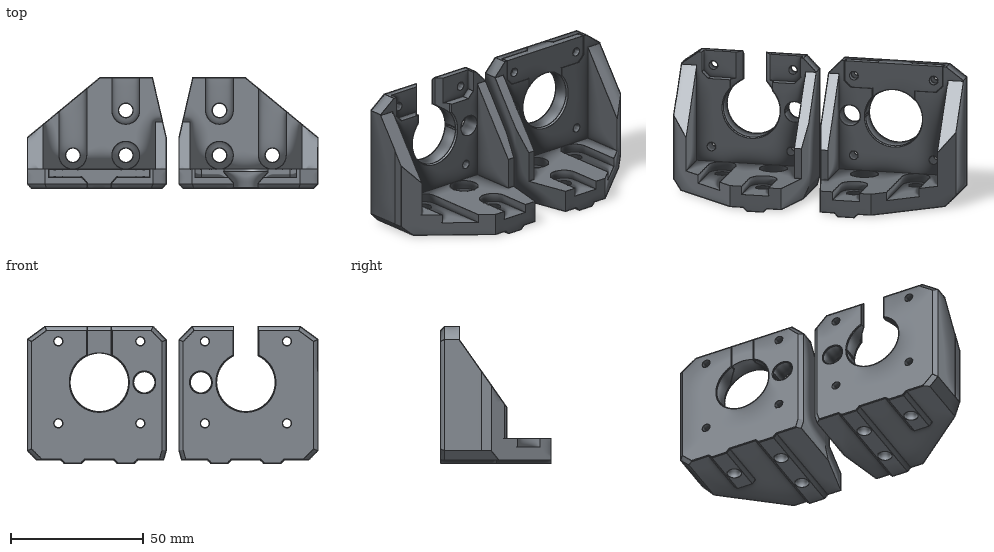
import cadquery as cq
OUTER_X = -27.2
INNER_X = 25.3
DEPTH = 41.8
HEIGHT = 50.5
MOUNT_OFFSET = 27.7

TOP_OUTER_CUT = (6.7, 4.9)
TOP_INNER_CUT = (5.0, 5.1)
BOTTOM_OUTER_CUT = (3.5, 3.5)
BOTTOM_INNER_CUT = (1.0, 3.5)
FRONT_CHAMFER = 1.6
EDGE_BREAK = 0.3

BASE_HEIGHT = 8.2
SIDE_STRAIGHT = 19.2
REAR_OUTER_X = 0.2
REAR_INNER_X = 20.1
SCREW_X = 10.0
SCREW_FRONT_Y = 12.5
SCREW_REAR_Y = 29.45
SCREW_D = 5.4
SCREW_HEAD_D = 10.5
SCREW_SEAT_Z = 5.0
RIB_TIP_WIDTH = 6.3
RIB_HEIGHT = 1.4
OUTER_RIB_LENGTH = 21.2

PLATE_DEPTH = 7.25
OUTER_WALL_X = -21.2
INNER_WALL_X = 21.2
WALL_SLOPE_TOP_Z = 45.3
WALL_END_Y = 25.1
WALL_END_Z = 19.85
OUTER_PAD = 0.1
OUTER_PAD_START_Y = 15.5

MOTOR_Z = 29.35
MOTOR_PITCH = 31.0
MOTOR_SCREW_D = 3.3
PILOT_D = 22.1
PILOT_REAR_TAPER = (0.3, 0.9)
ROD_X = 17.0
ROD_D = 8.03
RELIEF_D = 1.5
RELIEF_X = 12.8
RELIEF_Y = (1.0, 6.2)
SLIT_HEIGHT = 1.0

SLOT_HALF = 4.6
SLOT_STRAIGHT_Y = 1.9
FLARE_END_Y = 6.0
FLARE_HALF = 8.3
GROOVE_HALF = 19.2
GROOVE_Y = 4.15
GROOVE_FLOOR_Z = MOTOR_Z + 11.0
GROOVE_CORNER = 2.5
COVER_GAP = 0.2

OVER = 1.0


def box(x_range, y_range, z_range):
    size = [high - low for low, high in (x_range, y_range, z_range)]
    corner = (x_range[0], y_range[0], z_range[0])
    return cq.Workplane("XY").box(*size, centered=False).translate(corner)


def along_y(points, y_start, y_end):
    """Prism of an (x, z) outline running from y_start to y_end."""
    outline = cq.Workplane("XZ", origin=(0, y_start, 0)).polyline(points).close()
    return outline.extrude(y_start - y_end)


def along_z(points, z_start, z_end):
    """Prism of an (x, y) outline running from z_start to z_end."""
    outline = cq.Workplane("XY", origin=(0, 0, z_start)).polyline(points).close()
    return outline.extrude(z_end - z_start)


def bore(x, z, diameter, y_start, y_end):
    circle = cq.Workplane("XZ", origin=(x, y_start, z)).circle(diameter / 2)
    return circle.extrude(y_start - y_end)


def bore_mouth(x, z, diameter, step, depth, y_face, inward):
    """Cone that chamfers a bore at y_face; inward is +1 or -1 along Y."""
    cone = cq.Solid.makeCone(
        diameter / 2 + step, diameter / 2, depth,
        pnt=cq.Vector(x, y_face, z), dir=cq.Vector(0, inward, 0),
    )
    return cq.Workplane(cone)


def envelope():
    """Front outline with cut corners, chamfered around the front except along the bottom."""
    outline = [
        (OUTER_X + BOTTOM_OUTER_CUT[0], 0),
        (INNER_X - BOTTOM_INNER_CUT[0], 0),
        (INNER_X, BOTTOM_INNER_CUT[1]),
        (INNER_X, HEIGHT - TOP_INNER_CUT[1]),
        (INNER_X - TOP_INNER_CUT[0], HEIGHT),
        (OUTER_X + TOP_OUTER_CUT[0], HEIGHT),
        (OUTER_X, HEIGHT - TOP_OUTER_CUT[1]),
        (OUTER_X, BOTTOM_OUTER_CUT[1]),
    ]
    block = along_y(outline, 0, DEPTH)
    front_edges = block.faces("<Y").edges()
    bottom_edge = block.faces("<Y").edges("<Z")
    return block.newObject(
        [edge for edge in front_edges.vals() if not edge.isSame(bottom_edge.val())]
    ).chamfer(FRONT_CHAMFER)


def footprint(z_start, z_end):
    """Plan outline whose sides slant inwards to the shorter rear edge."""
    outline = [
        (OUTER_X, 0),
        (INNER_X, 0),
        (INNER_X, SIDE_STRAIGHT),
        (REAR_INNER_X, DEPTH),
        (REAR_OUTER_X, DEPTH),
        (OUTER_X, SIDE_STRAIGHT),
    ]
    return along_z(outline, z_start, z_end)


def side_profile():
    """Base, motor plate and sloped wall edge, as seen across the whole width."""
    outline = [
        (0, 0),
        (DEPTH, 0),
        (DEPTH, BASE_HEIGHT),
        (WALL_END_Y, BASE_HEIGHT),
        (WALL_END_Y, WALL_END_Z),
        (PLATE_DEPTH, WALL_SLOPE_TOP_Z),
        (PLATE_DEPTH, HEIGHT),
        (0, HEIGHT),
    ]
    profile = cq.Workplane("YZ", origin=(OUTER_X, 0, 0)).polyline(outline).close()
    return profile.extrude(INNER_X - OUTER_X)


def rib(x, length):
    """Rib under the base with 45 degree flanks, keying into the frame profile."""
    tip = RIB_TIP_WIDTH / 2
    root = tip + RIB_HEIGHT
    outline = [(x - root, 0), (x + root, 0), (x + tip, -RIB_HEIGHT), (x - tip, -RIB_HEIGHT)]
    return along_y(outline, 0, length)


def frame_screw_cut(x, y, open_to_rear):
    """Through hole with a screw head seat, the seat optionally open to the rear."""
    seat = cq.Workplane("XY", origin=(0, 0, SCREW_SEAT_Z))
    head_height = BASE_HEIGHT - SCREW_SEAT_Z
    hole = cq.Workplane("XY", origin=(x, y, -RIB_HEIGHT)).circle(SCREW_D / 2).extrude(BASE_HEIGHT + RIB_HEIGHT)
    cut = hole.union(seat.center(x, y).circle(SCREW_HEAD_D / 2).extrude(head_height))
    if open_to_rear:
        radius = SCREW_HEAD_D / 2
        cut = cut.union(box((x - radius, x + radius), (y, DEPTH + OVER), (SCREW_SEAT_Z, BASE_HEIGHT)))
    return cut.cut(box((OUTER_X, INNER_X), (0, PLATE_DEPTH), (0, BASE_HEIGHT)))


def motor_cuts():
    """Pilot bore, rod bore, the slit between them with its relief groove, and the four motor screw holes."""
    through = (-OVER, PLATE_DEPTH + OVER)
    cuts = [
        bore(0, MOTOR_Z, PILOT_D, *through),
        bore_mouth(0, MOTOR_Z, PILOT_D, EDGE_BREAK, EDGE_BREAK, 0, 1),
        bore_mouth(0, MOTOR_Z, PILOT_D, *PILOT_REAR_TAPER, PLATE_DEPTH, -1),
        bore(ROD_X, MOTOR_Z, ROD_D, *through),
        bore_mouth(ROD_X, MOTOR_Z, ROD_D, EDGE_BREAK, EDGE_BREAK, 0, 1),
        bore(RELIEF_X, MOTOR_Z, RELIEF_D, *RELIEF_Y),
        box((0, RELIEF_X), RELIEF_Y, (MOTOR_Z - SLIT_HEIGHT / 2, MOTOR_Z + SLIT_HEIGHT / 2)),
    ]
    for x in (-MOTOR_PITCH / 2, MOTOR_PITCH / 2):
        for z in (MOTOR_Z - MOTOR_PITCH / 2, MOTOR_Z + MOTOR_PITCH / 2):
            cuts.append(bore(x, z, MOTOR_SCREW_D, *through))
    return cuts


def slot_prism(gap, z_top):
    """Flared vertical slot, with its sides and back drawn in by gap."""
    half = SLOT_HALF - gap
    flare = FLARE_HALF - gap
    back = PLATE_DEPTH - gap
    right_side = [(half, 0), (half, SLOT_STRAIGHT_Y), (flare, FLARE_END_Y), (flare, back)]
    left_side = [(-x, y) for x, y in reversed(right_side)]
    return along_z(right_side + left_side, MOTOR_Z, z_top)


def groove_prism(gap, z_top):
    """Wide groove behind the slot with 45 degree lower corners, drawn in by gap."""
    half = GROOVE_HALF - gap
    outline = [
        (half, z_top),
        (half, GROOVE_FLOOR_Z + GROOVE_CORNER),
        (half - GROOVE_CORNER, GROOVE_FLOOR_Z),
        (GROOVE_CORNER - half, GROOVE_FLOOR_Z),
        (-half, GROOVE_FLOOR_Z + GROOVE_CORNER),
        (-half, z_top),
    ]
    return along_y(outline, GROOVE_Y + gap, PLATE_DEPTH - gap)


def slot_edge_chamfers():
    """Small chamfers along both front edges of the slot."""
    size = EDGE_BREAK
    outline = [(-SLOT_HALF - size, 0), (SLOT_HALF + size, 0), (SLOT_HALF, size), (-SLOT_HALF, size)]
    return along_z(outline, MOTOR_Z, HEIGHT)


def make_mount():
    body = envelope().intersect(footprint(0, HEIGHT)).intersect(side_profile())
    body = body.cut(box((OUTER_WALL_X, INNER_WALL_X), (PLATE_DEPTH, DEPTH), (BASE_HEIGHT, HEIGHT)))
    body = body.union(rib(-SCREW_X, OUTER_RIB_LENGTH)).union(rib(SCREW_X, DEPTH))
    bottom_edges = body.faces("<Y").edges(cq.selectors.BoxSelector(
        (OUTER_X, -OVER, -RIB_HEIGHT - OVER), (INNER_X, OVER, EDGE_BREAK)))
    body = body.newObject(bottom_edges.vals()).chamfer(EDGE_BREAK)
    body = body.cut(frame_screw_cut(-SCREW_X, SCREW_FRONT_Y, True))
    body = body.cut(frame_screw_cut(SCREW_X, SCREW_FRONT_Y, False))
    body = body.cut(frame_screw_cut(SCREW_X, SCREW_REAR_Y, True))
    for cut in motor_cuts():
        body = body.cut(cut)
    body = body.cut(slot_prism(0, HEIGHT))
    body = body.cut(groove_prism(0, HEIGHT))
    return body.cut(slot_edge_chamfers())


def outer_pad():
    """Thin strip on the outer wall, filling its rear end below the sloped edge."""
    strip = box(
        (OUTER_X - OUTER_PAD, OUTER_X),
        (OUTER_PAD_START_Y, SIDE_STRAIGHT),
        (BOTTOM_OUTER_CUT[1], HEIGHT),
    )
    return strip.intersect(side_profile().translate((-OUTER_PAD, 0, 0)))


def make_cover():
    """Insert that closes the slot, flush with the plate front and following the pilot bore."""
    cover = slot_prism(COVER_GAP, HEIGHT).union(groove_prism(COVER_GAP, HEIGHT))
    cover = cover.intersect(envelope())
    cover = cover.cut(bore(0, MOTOR_Z, PILOT_D, -OVER, PLATE_DEPTH + OVER))
    for x in (-MOTOR_PITCH / 2, MOTOR_PITCH / 2):
        z = MOTOR_Z + MOTOR_PITCH / 2
        cover = cover.cut(bore(x, z, MOTOR_SCREW_D, -OVER, PLATE_DEPTH + OVER))
    return cover


mount = make_mount()
left_mount = mount.translate((-MOUNT_OFFSET, 0, 0))
cover = make_cover().translate((-MOUNT_OFFSET, 0, 0))
right_mount = mount.union(outer_pad()).mirror("YZ").translate((MOUNT_OFFSET, 0, 0))

result = cq.Compound.makeCompound([left_mount.val(), cover.val(), right_mount.val()])